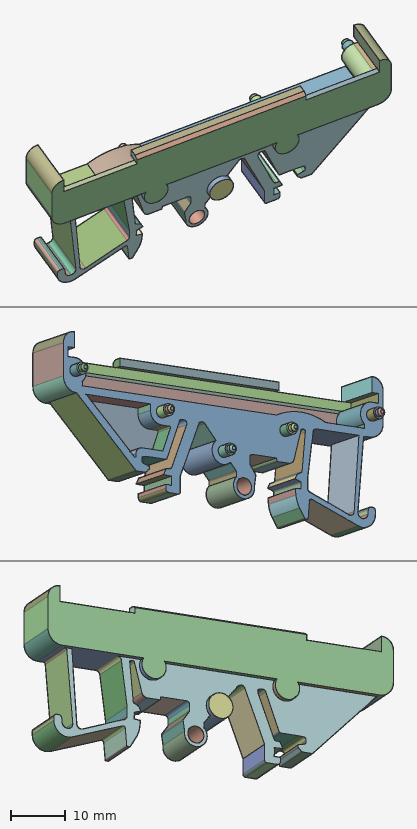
import cadquery as cq
import math

half_length = 35.0
height = 28.55
tray_depth = 10.15
web_depth = 9.1

tray_underside_z = 17.15
tray_floor_z = 18.6
tray_top_z = 25.55
tray_corner_radius = 2.8
end_tab_inner_y = 32.55
end_tab_radius = 2.4
lower_wall_x = 8.0
upper_wall_x = 9.1
step_bottom_z = 22.8
groove_end_y = 33.95
floor_end_y = 30.9
arch_y = -17.0
arch_half_width = 5.4
arch_rise = 1.25

rail_half_length = 17.4
rail_front_x = 7.85
rail_top_z = 27.1
rail_chamfer_width = 0.85
rail_chamfer_drop = 0.5

boss_radius = 2.45
end_pin_y = 32.5
end_pin_z = 21.3
outer_pin_y = 13.5
outer_pin_z = 15.95
middle_pin_z = 10.3
end_pins = [(end_pin_y, end_pin_z), (-end_pin_y, end_pin_z)]
web_pins = [(outer_pin_y, outer_pin_z), (0, middle_pin_z), (-outer_pin_y, outer_pin_z)]
step_top_z = end_pin_z + boss_radius
pin_radius = 1.1
pin_length = 2.3
pin_neck_radius = 0.8
pin_neck_length = 0.85
pin_tip_radius = 0.35
pin_tip_length = 0.35

tube_y = -4.55
tube_z = 4.35
tube_radius = 2.3
tube_hole_radius = 1.6
pocket_depth = 4.05

join_z = 17.85
hook_foot = [
    (32.8, join_z, 0),
    (19.1, 4.2, 0.2),
    (16.95, 4.2, 0.2),
    (16.2, 5.0, 0.15),
    (16.2, 5.45, 0),
    (17.8, 5.9, 0.5),
    (17.8, 7.15, 0.55),
    (16.1, 7.2, 0),
    (12.4, 7.2, 0.3),
]
spring_leg = [
    (9.45, 15.1, 0.6),
    (7.7, 15.1, 0.6),
    (11.4, 5.5, 0.55),
    (12.45, 5.5, 0.2),
    (13.1, 4.3, 0),
    (11.35, 4.2, 0),
    (11.35, 2.5, 0),
    (12.6, 2.5, 0),
    (12.6, 1.05, 0.7),
    (9.4, 1.05, 0.5),
    (9.4, 4.55, 0),
]
tube_arm = [
    (4.9, 15.95, 0.8),
    (0, middle_pin_z, 0),
    (-2.9, 6.9, 0.3),
    (-2.9, 5.9, 0),
    (tube_y, tube_z, 0),
    (-6.8, tube_z, 0),
    (-7.15, 6.8, 0.35),
    (-5.8, 8.7, 0.2),
]
middle_plate = [
    (-5.8, 10.6, 0.7),
    (-11.6, 10.6, 0),
    (-11.75, 9.95, 0.2),
    (-15.25, 9.95, 1.1),
    (-17.1, 16.7, 0.4),
    (-18.0, 16.7, 0.4),
]
clip_jaw = [
    (-17.2, 8.6, 0.3),
    (-16.2, 8.1, 0.3),
    (-15.7, 7.2, 0),
    (-17.0, 6.8, 0.2),
    (-17.0, 5.5, 0),
    (-15.75, 5.4, 0),
    (-16.0, 2.95, 5.6),
    (-17.85, 0.0, 0.15),
    (-18.55, 0.0, 0.15),
    (-18.9, 4.0, 0.4),
]
clip_hook = [
    (-33.3, -1.2, 2.8),
    (-33.3, 4.05, 0.6),
    (-31.8, 4.05, 0.6),
    (-31.6, 1.7, 1.05),
    (-29.4, 1.7, 1.0),
    (-30.7, tray_underside_z, 0.4),
    (-31.9, tray_underside_z, 0),
    (-31.9, join_z, 0),
]
web_outline = hook_foot + spring_leg + tube_arm + middle_plate + clip_jaw + clip_hook

clip_window = [
    (-19.75, tray_underside_z, 0.85),
    (-29.7, tray_underside_z, 0),
    (-28.55, 1.6, 0.85),
    (-18.5, 5.3, 0.7),
    (-18.5, 7.6, 0),
]

pocket_end_y = outer_pin_y + boss_radius
pocket_boss_z = outer_pin_z - boss_radius
wing_pocket = [
    (30.0, tray_underside_z, 0),
    (19.45, 6.8, 0),
    (19.1, 6.8, 0),
    (19.1, 8.7, 1.25),
    (13.2, 8.7, 0),
    (11.5, pocket_boss_z, 0.2),
    (pocket_end_y, pocket_boss_z, boss_radius),
    (pocket_end_y, tray_underside_z, 0),
]


def towards(start, end, distance):
    """The point that lies the given distance from start on the way to end."""
    share = distance / math.dist(start, end)
    return (start[0] + share * (end[0] - start[0]), start[1] + share * (end[1] - start[1]))


def rounded_prism(corners, depth):
    """Closed outline of (y, z, corner radius) with arcs in its corners, extruded from x = 0."""
    sections = []
    for index, (y, z, radius) in enumerate(corners):
        corner = (y, z)
        before = corners[index - 1][:2]
        after = corners[(index + 1) % len(corners)][:2]
        if radius == 0:
            sections.append([corner])
            continue
        to_before = math.atan2(before[1] - z, before[0] - y)
        to_after = math.atan2(after[1] - z, after[0] - y)
        half_angle = math.acos(math.cos(to_before - to_after)) / 2
        tangent_length = radius / math.tan(half_angle)
        arc_start = towards(corner, before, tangent_length)
        arc_end = towards(corner, after, tangent_length)
        chord_middle = towards(arc_start, arc_end, math.dist(arc_start, arc_end) / 2)
        arc_middle = towards(corner, chord_middle, radius / math.sin(half_angle) - radius)
        sections.append([arc_start, arc_middle, arc_end])

    outline = cq.Workplane("YZ").moveTo(*sections[0][-1])
    for section in sections[1:] + sections[:1]:
        outline = outline.lineTo(*section[0])
        if len(section) > 1:
            outline = outline.threePointArc(*section[1:])
    return outline.close().extrude(depth)


def cylinder(center, radius, depth):
    """Cylinder along X, from x = 0."""
    return cq.Workplane("YZ").center(*center).circle(radius).extrude(depth)


def block(y_start, y_end, z_start, z_end, depth):
    """Box from x = 0, between two Y and two Z values."""
    corners = [(y_start, z_start), (y_end, z_start), (y_end, z_end), (y_start, z_end)]
    return cq.Workplane("YZ").polyline(corners).close().extrude(depth)


def tray_cavity():
    """Space inside the tray, around the end bosses and the arch in the floor."""
    profile = [
        (0, tray_floor_z),
        (lower_wall_x, tray_floor_z),
        (lower_wall_x, step_bottom_z),
        (upper_wall_x, step_top_z),
        (upper_wall_x, tray_top_z),
        (0, tray_top_z),
    ]
    cavity = cq.Workplane("XZ").polyline(profile).close().extrude(groove_end_y, both=True)

    for pin_y, pin_z in end_pins:
        side = math.copysign(1, pin_y)
        end_y = side * half_length
        cavity = cavity.cut(block(pin_y, end_y, 0, pin_z + boss_radius, tray_depth))
        cavity = cavity.cut(block(side * floor_end_y, end_y, 0, pin_z, tray_depth))
        cavity = cavity.cut(cylinder((pin_y, pin_z), boss_radius, tray_depth))

    arch_radius = (arch_half_width**2 + arch_rise**2) / (2 * arch_rise)
    arch_center = (arch_y, tray_floor_z + arch_rise - arch_radius)
    return cavity.cut(cylinder(arch_center, arch_radius, tray_depth))


def tray():
    """Channel with an upright tab at each end."""
    half_outline = [
        (half_length, tray_underside_z, tray_corner_radius),
        (half_length, height, end_tab_radius),
        (end_tab_inner_y, height, 0),
        (end_tab_inner_y, tray_top_z, 0),
    ]
    mirrored_half = [(-y, z, radius) for y, z, radius in reversed(half_outline)]
    return rounded_prism(half_outline + mirrored_half, tray_depth).cut(tray_cavity())


def rail():
    """Strip on top of the back wall, with a sloped back edge."""
    profile = [
        (rail_front_x, tray_top_z),
        (tray_depth, tray_top_z),
        (tray_depth, rail_top_z - rail_chamfer_drop),
        (tray_depth - rail_chamfer_width, rail_top_z),
        (rail_front_x, rail_top_z),
    ]
    return cq.Workplane("XZ").polyline(profile).close().extrude(rail_half_length, both=True)


def web():
    """Feet, spring leg, tube and clip below the tray."""
    tube_center = (tube_y, tube_z)
    plate = rounded_prism(web_outline, web_depth)
    plate = plate.union(cylinder(tube_center, tube_radius, web_depth))
    for center in web_pins:
        plate = plate.union(cylinder(center, boss_radius, tray_depth))
    plate = plate.cut(cylinder(tube_center, tube_hole_radius, web_depth))
    plate = plate.cut(rounded_prism(clip_window, web_depth))
    return plate.cut(rounded_prism(wing_pocket, pocket_depth))


def pin(center):
    """Stepped pin with a conical tip, standing out from the open face."""
    shoulder_x = -pin_length
    neck_x = shoulder_x - pin_neck_length
    tip_x = neck_x - pin_tip_length
    half_profile = [
        (0, 0),
        (0, pin_radius),
        (shoulder_x, pin_radius),
        (shoulder_x, pin_neck_radius),
        (neck_x, pin_neck_radius),
        (tip_x, pin_tip_radius),
        (tip_x, 0),
    ]
    turned = cq.Workplane("XZ").polyline(half_profile).close().revolve(360, (0, 0, 0), (1, 0, 0))
    return turned.translate((0, *center))


result = tray().union(web()).union(rail())
for pin_center in end_pins + web_pins:
    result = result.union(pin(pin_center))